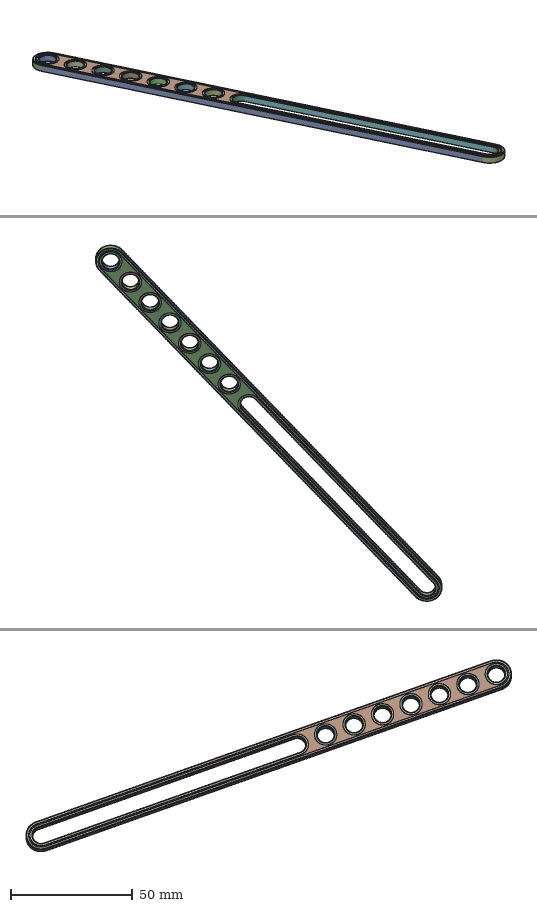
import cadquery as cq

pitch = 12.5
unit_count = 17
thickness = pitch / 4
round_hole_count = 7
hole_diameter = 7.0
collar_diameter = 9.2
web_recess = 0.2
edge_chamfer = 0.3

length = unit_count * pitch
border_width = (collar_diameter - hole_diameter) / 2
first_hole_x = (pitch - length) / 2
last_center_x = -first_hole_x
slot_start_x = first_hole_x + round_hole_count * pitch
top_z = thickness / 2

openings = []
for index in range(round_hole_count):
    hole_x = first_hole_x + index * pitch
    openings.append((hole_x, hole_x))
openings.append((slot_start_x, last_center_x))


def round_ended_bar(start_x, end_x, width, z_bottom, z_top):
    """Bar with full-round ends centered at start_x and end_x, a disc if they coincide."""
    spacing = end_x - start_x
    plane = cq.Workplane("XY", origin=((start_x + end_x) / 2, 0, z_bottom))
    if spacing == 0:
        outline = plane.circle(width / 2)
    else:
        outline = plane.slot2D(spacing + width, width)
    return outline.extrude(z_top - z_bottom)


def make_blank():
    """Strip with full-round ends and chamfered outer edges."""
    blank = round_ended_bar(first_hole_x, last_center_x, pitch, -top_z, top_z)
    return blank.faces("|Z").edges().chamfer(edge_chamfer)


def make_web_recess():
    """Shallow recess in the top face, inside the border and outside the collars."""
    floor_z = top_z - web_recess
    inner_width = pitch - 2 * border_width
    recess = round_ended_bar(first_hole_x, last_center_x, inner_width, floor_z, top_z)
    for start_x, end_x in openings:
        recess = recess.cut(round_ended_bar(start_x, end_x, collar_diameter, floor_z, top_z))
    return recess


def make_opening(start_x, end_x):
    """Through opening that flares out by the edge chamfer at both faces."""
    mouth_width = hole_diameter + 2 * edge_chamfer
    waist = round_ended_bar(start_x, end_x, hole_diameter, -top_z, top_z)
    mouth = round_ended_bar(start_x, end_x, mouth_width, 0, top_z)
    mouth = mouth.faces("<Z").edges().chamfer(edge_chamfer)
    mouth = mouth.translate((0, 0, top_z - edge_chamfer))
    return waist.union(mouth).union(mouth.mirror("XY"))


recess = make_web_recess()
result = make_blank().cut(recess).cut(recess.mirror("XY"))
for start_x, end_x in openings:
    result = result.cut(make_opening(start_x, end_x))